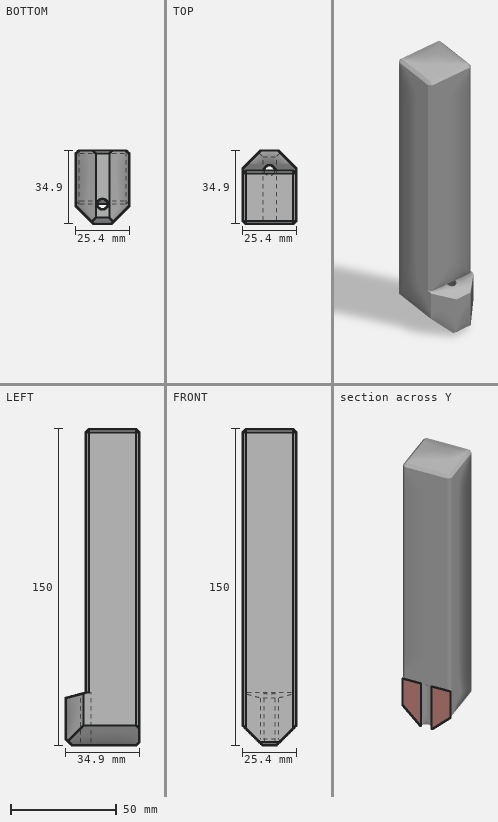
import cadquery as cq
import math

length = 150.0
shank = 25.4
nose_reach = 9.5
edge_chamfer = 1.5
nose_back_height = 22.5
nose_slope = 15.0
back_corner = 8.5
bottom_corner = 9.5
heel_chamfer = 3.0
hole_diameter = 5.0

half_width = shank / 2
depth = shank + nose_reach
nose_root_height = nose_back_height + nose_reach * math.tan(math.radians(nose_slope))


def make_shank():
    """Square bar, chamfered on its four long edges and around its top."""
    bar = cq.Workplane("XY").rect(shank, shank).extrude(length)
    bar = bar.edges("|Z or >Z").chamfer(edge_chamfer)
    return bar.translate((0, shank / 2, 0))


def make_foot():
    """Lower block with the nose: side profile in YZ, extruded across the full width."""
    profile = [
        (0, 0),
        (depth, 0),
        (depth, nose_back_height),
        (shank, nose_root_height),
        (0, nose_root_height),
    ]
    foot = cq.Workplane("YZ").polyline(profile).close().extrude(half_width, both=True)
    return foot.edges("|Z and <Y").chamfer(edge_chamfer)


def make_side_bevels(plane, edge_position, direction, leg, run):
    """Pair of triangular cutters for 45 degree bevels, one on each side of the part."""
    cutter = cq.Workplane(plane)
    for side in (-1, 1):
        x_edge = side * half_width
        cutter = (
            cutter.moveTo(x_edge, edge_position)
            .lineTo(x_edge - side * leg, edge_position)
            .lineTo(x_edge, edge_position + direction * leg)
            .close()
        )
    return cutter.extrude(run)


def make_end_chamfer(y_edge, direction, leg):
    """Triangular cutter for a 45 degree chamfer on a bottom edge running along X."""
    triangle = [(y_edge, 0), (y_edge + direction * leg, 0), (y_edge, leg)]
    return cq.Workplane("YZ").polyline(triangle).close().extrude(half_width, both=True)


body = make_shank().union(make_foot())

body = body.cut(make_side_bevels("XZ", 0, 1, bottom_corner, -depth))
body = body.cut(make_side_bevels("XY", depth, -1, back_corner, nose_root_height))

body = body.cut(make_end_chamfer(0, 1, edge_chamfer))
body = body.cut(make_end_chamfer(depth, -1, heel_chamfer))

hole = cq.Workplane("XY").center(0, shank).circle(hole_diameter / 2).extrude(nose_root_height)
result = body.cut(hole)